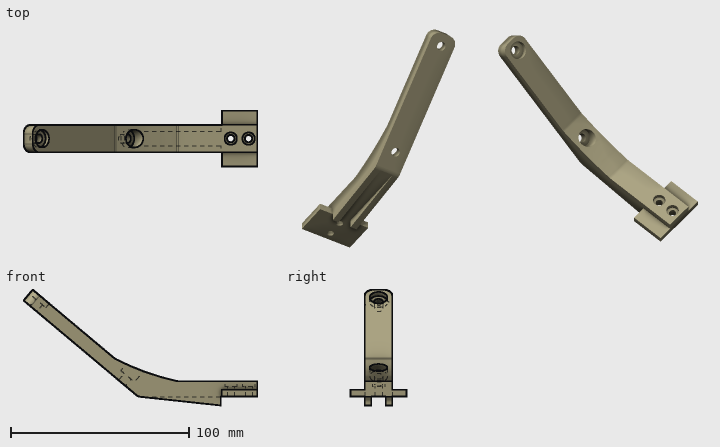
import cadquery as cq
import math

ARM_WIDTH = 15.5
WING_SPAN = 31.5
TOTAL_LENGTH = 131.43
TAIL_END_X = 0.0
TIP_X = TAIL_END_X - TOTAL_LENGTH

ARM_ANGLE = 40.0
ARM_THICKNESS = 8.0
ARM_CORNER_RADIUS = 5.0
SLOPE_COS = math.cos(math.radians(ARM_ANGLE))
SLOPE_SIN = math.sin(math.radians(ARM_ANGLE))
ARM_TIP_Z = 45.24
ARM_BOTTOM_LENGTH = 84.05

ARM_TOP_LENGTH = 60.2
BLEND_END_X = -45.1
BLEND_RADIUS = 140.0

BEND_EDGE_RADIUS = 5.0

HEEL_END_X = -20.5
HEEL_BOTTOM_Z = -13.8
PAD_BOTTOM_Z = -8.8
WING_LENGTH = 20.0
WING_THICKNESS = 4.0
HEEL_SLOT_WIDTH = 8.0

ARM_HOLE_DIAMETER = 5.0
ARM_COUNTERBORE_DIAMETER = 10.0
ARM_HOLE_FLOOR = 5.0
ARM_HOLE_FROM_TIP = 7.0
ARM_HOLE_SPACING = 65.0
ARM_CUT_LENGTH = 40.0

TAIL_HOLE_DIAMETER = 4.0
TAIL_COUNTERBORE_DIAMETER = 7.0
TAIL_COUNTERBORE_DEPTH = 3.0
TAIL_HOLE_FROM_END = 5.0
TAIL_HOLE_SPACING = 10.0


def arm_point(along, height):
    """Point (X, Z) a distance down the arm from its lower tip and a height above its lower face."""
    x = TIP_X + along * SLOPE_COS + height * SLOPE_SIN
    z = ARM_TIP_Z - along * SLOPE_SIN + height * SLOPE_COS
    return (x, z)


def blend_midpoint(start, end):
    """Middle point of the concave blend arc, which sags below the chord."""
    dx = end[0] - start[0]
    dz = end[1] - start[1]
    chord = math.hypot(dx, dz)
    sag = BLEND_RADIUS - math.sqrt(BLEND_RADIUS**2 - (chord / 2) ** 2)
    mid_x = (start[0] + end[0]) / 2 + sag * dz / chord
    mid_z = (start[1] + end[1]) / 2 - sag * dx / chord
    return (mid_x, mid_z)


def make_body():
    """Side profile extruded across the arm width, with its bend edges and tip corners rounded."""
    blend_start = arm_point(ARM_TOP_LENGTH, ARM_THICKNESS)
    blend_end = (BLEND_END_X, 0)
    body = (
        cq.Workplane("XZ")
        .moveTo(*arm_point(0, 0))
        .lineTo(*arm_point(0, ARM_THICKNESS))
        .lineTo(*blend_start)
        .threePointArc(blend_midpoint(blend_start, blend_end), blend_end)
        .lineTo(TAIL_END_X, 0)
        .lineTo(TAIL_END_X, PAD_BOTTOM_Z)
        .lineTo(HEEL_END_X, PAD_BOTTOM_Z)
        .lineTo(HEEL_END_X, HEEL_BOTTOM_Z)
        .lineTo(*arm_point(ARM_BOTTOM_LENGTH, 0))
        .close()
        .extrude(ARM_WIDTH / 2, both=True)
    )
    for kink in (blend_start, blend_end, arm_point(ARM_BOTTOM_LENGTH, 0)):
        nearest = cq.selectors.NearestToPointSelector((kink[0], 0, kink[1]))
        body = body.edges("|Y").edges(nearest).fillet(BEND_EDGE_RADIUS)
    for side in (-1, 1):
        x, z = arm_point(0, ARM_THICKNESS / 2)
        nearest = cq.selectors.NearestToPointSelector((x, side * ARM_WIDTH / 2, z))
        body = body.edges(nearest).fillet(ARM_CORNER_RADIUS)
    return body


def make_wings():
    """Flat plate across the underside of the pad, forming a wing on each side."""
    return (
        cq.Workplane("XY", origin=(TAIL_END_X - WING_LENGTH / 2, 0, PAD_BOTTOM_Z))
        .rect(WING_LENGTH, WING_SPAN)
        .extrude(WING_THICKNESS)
    )


def make_heel_slot():
    """Lengthwise slot that splits the heel into two legs, level with the pad's underside."""
    bend_x = arm_point(ARM_BOTTOM_LENGTH, 0)[0]
    slot_length = HEEL_END_X - bend_x
    slot_depth = PAD_BOTTOM_Z - HEEL_BOTTOM_Z
    return (
        cq.Workplane("XY", origin=(bend_x + slot_length / 2, 0, HEEL_BOTTOM_Z))
        .rect(slot_length, HEEL_SLOT_WIDTH)
        .extrude(slot_depth)
    )


def make_arm_hole(along):
    """Cutter for one counterbored hole, square to the arm's lower face."""
    x, z = arm_point(along, 0)
    lower_face = cq.Plane(origin=(x, 0, z), xDir=(0, 1, 0), normal=(SLOPE_SIN, 0, SLOPE_COS))
    hole = cq.Workplane(lower_face).circle(ARM_HOLE_DIAMETER / 2).extrude(ARM_THICKNESS)
    counterbore = (
        cq.Workplane(lower_face)
        .workplane(offset=ARM_HOLE_FLOOR)
        .circle(ARM_COUNTERBORE_DIAMETER / 2)
        .extrude(ARM_CUT_LENGTH)
    )
    return hole.union(counterbore)


def cut_tail_holes(body):
    """Two counterbored holes straight down through the pad."""
    first_x = TAIL_END_X - TAIL_HOLE_FROM_END
    centres = [(first_x, 0), (first_x - TAIL_HOLE_SPACING, 0)]
    return (
        body.copyWorkplane(cq.Workplane("XY"))
        .pushPoints(centres)
        .cboreHole(TAIL_HOLE_DIAMETER, TAIL_COUNTERBORE_DIAMETER, TAIL_COUNTERBORE_DEPTH)
    )


bracket = make_body().union(make_wings()).cut(make_heel_slot())
for hole_index in range(2):
    bracket = bracket.cut(make_arm_hole(ARM_HOLE_FROM_TIP + hole_index * ARM_HOLE_SPACING))
result = cut_tail_holes(bracket)